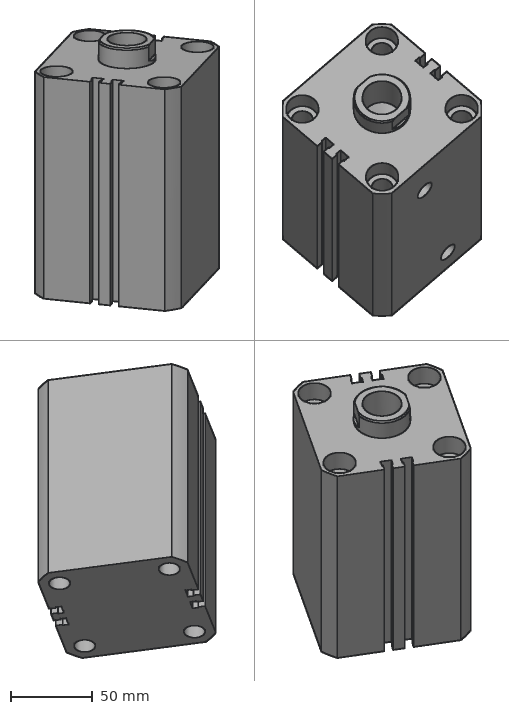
import cadquery as cq
import math

side = 94.0
total_height = 157.0
housing_height = 144.0
corner_diameter = 122.0

hole_offset = 34.5
hole_diameter = 13.0
counterbore_diameter = 20.0
counterbore_depth = 13.0

slot_offset = 6.5
slot_mouth_width = 5.5
slot_inner_width = 6.9
slot_lip_depth = 4.4
slot_depth = 8.0

port_mouth_diameter = 12.1
port_floor_diameter = 10.8
port_depth = 18.8
port_offset = 10.0
lower_port_height = 17.9
upper_port_height = 114.0

rod_diameter = 35.0
rod_embedded_length = 31.4
rod_chamfer_height = 1.1
rod_chamfer_width = 0.8
flat_spacing = 32.0
flat_bottom_gap = 2.8
flat_runout_drop = 1.1
rod_bore_diameter = 24.0
rod_bore_depth = 25.1
drill_point_angle = 118.0

rod_base = housing_height - rod_embedded_length


def make_block():
    square = cq.Workplane("XY").rect(side, side).extrude(housing_height)
    round_bar = cq.Workplane("XY").circle(corner_diameter / 2).extrude(housing_height)
    return square.intersect(round_bar)


def cut_mounting_holes(block):
    return (
        block.faces(">Z").workplane(origin=(0, 0, housing_height))
        .rect(2 * hole_offset, 2 * hole_offset, forConstruction=True).vertices()
        .cboreHole(hole_diameter, counterbore_diameter, counterbore_depth)
    )


def slot_cutter(x, face_sign):
    """Full-height T-shaped slot at x, opening on the face at face_sign * side / 2."""
    face_y = face_sign * side / 2
    lip_y = face_y - face_sign * slot_lip_depth
    floor_y = face_y - face_sign * slot_depth
    mouth = slot_mouth_width / 2
    inner = slot_inner_width / 2
    return (
        cq.Workplane("XY")
        .polyline([
            (x - mouth, face_y), (x - mouth, lip_y), (x - inner, lip_y), (x - inner, floor_y),
            (x + inner, floor_y), (x + inner, lip_y), (x + mouth, lip_y), (x + mouth, face_y),
        ])
        .close().extrude(housing_height)
    )


def port_cutter(y, z):
    """Blind tapered port running in from the -X face."""
    return cq.Workplane(cq.Solid.makeCone(
        port_mouth_diameter / 2, port_floor_diameter / 2, port_depth,
        cq.Vector(-side / 2, y, z), cq.Vector(1, 0, 0),
    ))


def rod_socket():
    return (
        cq.Workplane("XY", origin=(0, 0, rod_base))
        .circle(rod_diameter / 2).extrude(rod_embedded_length)
    )


def make_housing():
    housing = cut_mounting_holes(make_block())
    for x in (-slot_offset, slot_offset):
        for face_sign in (-1, 1):
            housing = housing.cut(slot_cutter(x, face_sign))
    housing = housing.cut(port_cutter(-port_offset, lower_port_height))
    housing = housing.cut(port_cutter(port_offset, upper_port_height))
    return housing.cut(rod_socket())


def flat_cutter():
    """Wrench flat on the +X side, with a floor that slopes down and outward."""
    flat_x = flat_spacing / 2
    outer_x = rod_diameter / 2
    flat_bottom = housing_height + flat_bottom_gap
    return (
        cq.Workplane("XZ")
        .polyline([
            (flat_x, flat_bottom), (outer_x, flat_bottom - flat_runout_drop),
            (outer_x, total_height), (flat_x, total_height),
        ])
        .close().extrude(rod_diameter / 2, both=True)
    )


def rod_bore():
    """Blind drilled bore with a conical point."""
    radius = rod_bore_diameter / 2
    shoulder = total_height - rod_bore_depth
    tip = shoulder - radius / math.tan(math.radians(drill_point_angle / 2))
    return (
        cq.Workplane("XZ")
        .polyline([(0, tip), (radius, shoulder), (radius, total_height), (0, total_height)])
        .close().revolve(360, (0, 0, 0), (0, 1, 0))
    )


def make_rod():
    rod = (
        cq.Workplane("XY", origin=(0, 0, rod_base))
        .circle(rod_diameter / 2).extrude(total_height - rod_base)
        .faces(">Z").chamfer(rod_chamfer_height, rod_chamfer_width)
    )
    flat = flat_cutter()
    return rod.cut(flat).cut(flat.mirror("YZ")).cut(rod_bore())


housing = make_housing()
rod = make_rod()
result = cq.Compound.makeCompound([housing.val(), rod.val()])